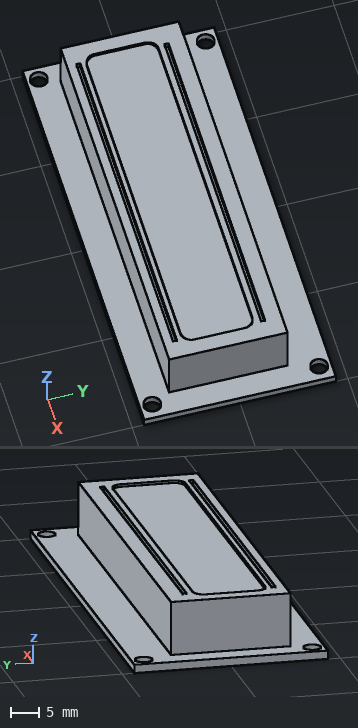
import cadquery as cq

board_length = 80.1
board_width = 35.55
board_thickness = 1.6
total_height = 11.5

hole_diameter = 3.1
hole_left_inset = 2.6
hole_right_inset = 3.0
hole_side_inset = 2.3

housing_length = 71.4
housing_width = 21.95
housing_left_inset = 4.0
housing_front_inset = 5.9

window_length = 65.5
window_width = 13.3
window_left_inset = 6.9
window_front_inset = 9.45
window_corner_radius = 2.0
window_depth = 0.5

groove_length = 63.6
groove_width = 0.7
groove_left_inset = 8.2
groove_front_insets = (7.7, 24.0)
groove_depth = 1.0

board_left = -board_length / 2
board_right = board_length / 2
board_front = -board_width / 2
board_back = board_width / 2


def block(length, width, height, left_inset, front_inset, bottom):
    """Box placed by its distances from the board's left and front edges."""
    corner = (board_left + left_inset, board_front + front_inset, bottom)
    return cq.Workplane("XY").box(length, width, height, centered=False).translate(corner)


def make_board():
    """Flat board with a through hole near each corner."""
    hole_centers = [
        (x, y)
        for x in (board_left + hole_left_inset, board_right - hole_right_inset)
        for y in (board_front + hole_side_inset, board_back - hole_side_inset)
    ]
    board = block(board_length, board_width, board_thickness, 0, 0, 0)
    holes = (
        cq.Workplane("XY")
        .pushPoints(hole_centers)
        .circle(hole_diameter / 2)
        .extrude(board_thickness)
    )
    return board.cut(holes)


def make_housing():
    """Rectangular display housing resting on the board."""
    height = total_height - board_thickness
    return block(
        housing_length, housing_width, height,
        housing_left_inset, housing_front_inset, board_thickness,
    )


def make_window():
    """Shallow pocket with rounded corners for the screen."""
    pocket = block(
        window_length, window_width, window_depth,
        window_left_inset, window_front_inset, total_height - window_depth,
    )
    return pocket.edges("|Z").fillet(window_corner_radius)


def make_groove(front_inset):
    """Straight groove cut into the top of the housing."""
    return block(
        groove_length, groove_width, groove_depth,
        groove_left_inset, front_inset, total_height - groove_depth,
    )


result = make_board().union(make_housing()).cut(make_window())
for groove_front_inset in groove_front_insets:
    result = result.cut(make_groove(groove_front_inset))